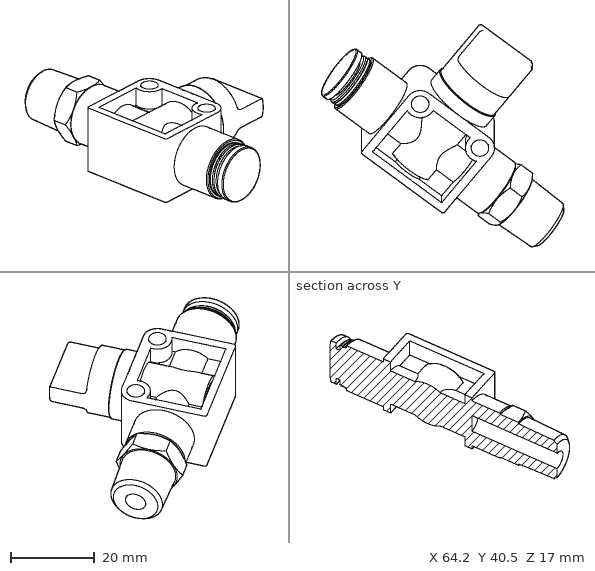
import cadquery as cq


housing_length = 25.05
housing_height = 17.0
housing_front = -10.45
housing_back = 11.55
ear_radius = 3.45
front_edge_radius = 0.5
mount_hole_diameter = 4.2
mount_hole_x = housing_length / 2 - ear_radius
mount_hole_y = housing_back - ear_radius

side_wall = 2.05
front_wall = 2.0
back_wall = 2.8
web_half_thickness = 3.85
flow_tube_radius = 5.6
stem_tube_radius = 6.6
stem_tube_front = -7.3
stem_nub_radius = 5.25

inlet_end = -36.5
total_length = 64.2
outlet_end = inlet_end + total_length
hex_start = inlet_end + 10.85
hex_end = inlet_end + 16.0
barrel_end = inlet_end + 59.5
sleeve_end = inlet_end + 61.4
collar_start = inlet_end + 62.3

barrel_radius = 7.5
barrel_chamfer = 0.25
thread_start_radius = 6.4
thread_end_radius = 6.75
thread_chamfer = 0.9
inlet_bore_diameter = 5.0
hex_across_corners = 16.55
hex_chamfer_length = 0.8
hex_face_radius = 7.1
sleeve_radius = 6.75
groove_radius = 6.4
first_ridge_land = 0.3
ridge_pitch = 0.95
second_ridge_land = 0.5
neck_radius = 5.0
collar_radius = 13.8 / 2
collar_bevel_length = 0.25
collar_bevel_radius = 6.7
collar_nose_length = 0.3

knob_base_radius = housing_height / 2
knob_radius = 16.5 / 2
knob_base_end = 15.1
knob_base_chamfer = 0.2
knob_shoulder = 20.8
knob_end = 30.05
blade_thickness = 4.9
blade_root_radius = 1.0
blade_tip_radius = 0.9


def cylinder_x(radius, start, end):
    return cq.Workplane("YZ", origin=(start, 0, 0)).circle(radius).extrude(end - start)


def cylinder_y(radius, start, end):
    return cq.Workplane("XZ", origin=(0, start, 0)).circle(radius).extrude(start - end)


def revolve_x(profile):
    """Close a (station, radius) profile on the X axis and revolve it."""
    return profile.close().revolve(360, (0, 0, 0), (1, 0, 0))


def centred_plate(x_size, y_start, y_end, z_size):
    return cq.Workplane("XY").box(x_size, y_end - y_start, z_size).translate((0, (y_start + y_end) / 2, 0))


def make_ears(diameter):
    """Upright cylinders on the two mounting-hole axes, as tall as the housing."""
    return (
        cq.Workplane("XY", origin=(0, 0, -housing_height / 2))
        .pushPoints([(-mount_hole_x, mount_hole_y), (mount_hole_x, mount_hole_y)])
        .circle(diameter / 2)
        .extrude(housing_height)
    )


def make_housing():
    block = centred_plate(housing_length, housing_front, housing_back, housing_height)
    block = block.edges("|Z and >Y").fillet(ear_radius)
    block = block.edges("|Z and <Y").fillet(front_edge_radius)

    recess_front = housing_front + front_wall
    recess_back = housing_back - back_wall
    recess_length = housing_length - 2 * side_wall
    recess = centred_plate(recess_length, recess_front, recess_back, housing_height)
    recess = recess.cut(centred_plate(recess_length, recess_front, recess_back, 2 * web_half_thickness))
    corner_size = 2 * ear_radius
    for side in (-1, 1):
        corner = cq.Workplane("XY").box(corner_size, corner_size, housing_height)
        corner = corner.translate((side * mount_hole_x, mount_hole_y + ear_radius, 0))
        recess = recess.cut(corner)
    recess = recess.cut(make_ears(2 * ear_radius))
    recess = recess.cut(cylinder_x(flow_tube_radius, -housing_length / 2, housing_length / 2))
    recess = recess.cut(cylinder_y(stem_tube_radius, stem_tube_front, housing_back))
    recess = recess.cut(cylinder_y(stem_nub_radius, housing_front, stem_tube_front))
    return block.cut(recess)


def make_inlet():
    thread = revolve_x(
        cq.Workplane("XY")
        .moveTo(inlet_end, 0)
        .lineTo(inlet_end, thread_start_radius - thread_chamfer)
        .lineTo(inlet_end + thread_chamfer, thread_start_radius)
        .lineTo(hex_start, thread_end_radius)
        .lineTo(hex_start, 0)
    )
    hex_length = hex_end - hex_start
    nut = cq.Workplane("YZ", origin=(hex_start, 0, 0)).polygon(6, hex_across_corners).extrude(hex_length)
    corner_radius = hex_across_corners / 2
    nut_envelope = revolve_x(
        cq.Workplane("XY")
        .moveTo(hex_start, 0)
        .lineTo(hex_start, hex_face_radius)
        .lineTo(hex_start + hex_chamfer_length, corner_radius)
        .lineTo(hex_end - hex_chamfer_length, corner_radius)
        .lineTo(hex_end, hex_face_radius)
        .lineTo(hex_end, 0)
    )
    return thread.union(nut.intersect(nut_envelope))


def make_outlet():
    """Grooved sleeve, neck and release collar of the push-in end."""
    first_land_end = barrel_end + first_ridge_land
    second_ridge_start = barrel_end + ridge_pitch
    second_land_end = second_ridge_start + second_ridge_land
    sleeve = revolve_x(
        cq.Workplane("XY")
        .moveTo(barrel_end, 0)
        .lineTo(barrel_end, sleeve_radius)
        .lineTo(first_land_end, sleeve_radius)
        .lineTo(second_ridge_start, groove_radius)
        .lineTo(second_ridge_start, sleeve_radius)
        .lineTo(second_land_end, sleeve_radius)
        .lineTo(sleeve_end, groove_radius)
        .lineTo(sleeve_end, 0)
    )
    neck = cylinder_x(neck_radius, sleeve_end, collar_start)
    nose_start = outlet_end - collar_nose_length
    collar = revolve_x(
        cq.Workplane("XY")
        .moveTo(collar_start, 0)
        .lineTo(collar_start, collar_radius)
        .lineTo(nose_start - collar_bevel_length, collar_radius)
        .lineTo(nose_start, collar_bevel_radius)
        .lineTo(outlet_end, neck_radius)
        .lineTo(outlet_end, 0)
    )
    return sleeve.union(neck).union(collar)


def make_knob():
    base = cylinder_y(knob_base_radius, housing_back, knob_base_end).faces(">Y").chamfer(knob_base_chamfer)
    grip = cylinder_y(knob_radius, knob_base_end, knob_end)

    half = blade_thickness / 2
    outer = knob_base_radius
    root = knob_shoulder + blade_root_radius
    root_half = half + blade_root_radius
    blade = (
        cq.Workplane("YZ", origin=(-outer, 0, 0))
        .moveTo(knob_base_end, -outer)
        .lineTo(knob_shoulder, -outer)
        .lineTo(knob_shoulder, -root_half)
        .radiusArc((root, -half), blade_root_radius)
        .lineTo(knob_end, -half)
        .lineTo(knob_end, half)
        .lineTo(root, half)
        .radiusArc((knob_shoulder, root_half), blade_root_radius)
        .lineTo(knob_shoulder, outer)
        .lineTo(knob_base_end, outer)
        .close()
        .extrude(2 * outer)
    )
    grip = grip.intersect(blade)
    return base.union(grip.faces(">Y").edges().fillet(blade_tip_radius))


def make_barrels():
    """Chamfered cylinders leaving the housing towards each fitting."""
    inlet_barrel = cylinder_x(barrel_radius, hex_end, -housing_length / 2)
    inlet_barrel = inlet_barrel.faces("<X").chamfer(barrel_chamfer)
    outlet_barrel = cylinder_x(barrel_radius, housing_length / 2, barrel_end)
    outlet_barrel = outlet_barrel.faces(">X").chamfer(barrel_chamfer)
    return inlet_barrel.union(outlet_barrel)


result = make_housing().union(make_barrels()).union(make_inlet()).union(make_outlet()).union(make_knob())

result = result.cut(make_ears(mount_hole_diameter))
result = result.cut(cylinder_x(inlet_bore_diameter / 2, inlet_end, -housing_length / 2))